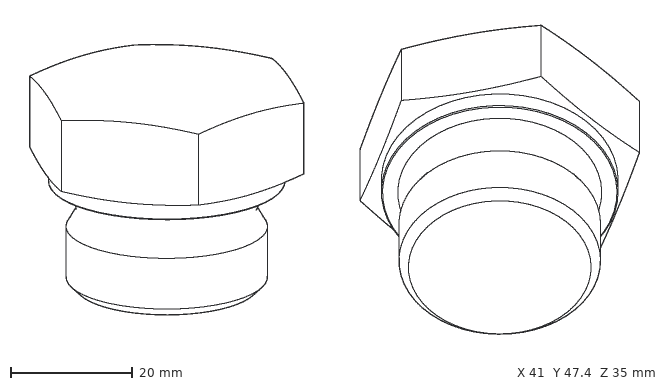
import cadquery as cq
import math

across_corners = 47.35
across_flats = across_corners * math.cos(math.radians(30))
head_height = 14.0
head_chamfer_angle = 15.0

total_height = 35.0
collar_diameter = 39.0
collar_height = 3.0
collar_edge_chamfer = 0.2

shank_diameter = 33.25
shank_length = 10.35
shank_chamfer = 1.55
undercut_top_diameter = 33.6
undercut_arc_diameter = 30.3
undercut_depth_in_arc = 0.2
undercut_arc_height = 1.5
lower_cone_height = 2.5

head_bottom = total_height - head_height
collar_bottom = head_bottom - collar_height
undercut_arc_bottom = shank_length + lower_cone_height
undercut_arc_top = undercut_arc_bottom + undercut_arc_height


def make_head():
    """Hexagon with corners on the Y axis, both ends chamfered by cones."""
    hexagon = (
        cq.Workplane("XY")
        .workplane(offset=head_bottom)
        .polygon(6, across_corners)
        .extrude(head_height)
        .rotate((0, 0, 0), (0, 0, 1), 30)
    )
    flat_radius = across_flats / 2
    corner_radius = across_corners / 2
    chamfer_drop = (corner_radius - flat_radius) * math.tan(math.radians(head_chamfer_angle))
    chamfer_envelope = (
        cq.Workplane("XZ")
        .moveTo(0, head_bottom)
        .lineTo(flat_radius, head_bottom)
        .lineTo(corner_radius, head_bottom + chamfer_drop)
        .lineTo(corner_radius, total_height - chamfer_drop)
        .lineTo(flat_radius, total_height)
        .lineTo(0, total_height)
        .close()
        .revolve(360, (0, 0, 0), (0, 1, 0))
    )
    return hexagon.intersect(chamfer_envelope)


def make_shank():
    """Collar, undercut and chamfered shank as one revolved profile."""
    shank_radius = shank_diameter / 2
    collar_radius = collar_diameter / 2
    arc_radius = undercut_arc_diameter / 2
    arc_middle = (
        arc_radius - undercut_depth_in_arc,
        (undercut_arc_bottom + undercut_arc_top) / 2,
    )
    return (
        cq.Workplane("XZ")
        .moveTo(0, 0)
        .lineTo(shank_radius - shank_chamfer, 0)
        .lineTo(shank_radius, shank_chamfer)
        .lineTo(shank_radius, shank_length)
        .lineTo(arc_radius, undercut_arc_bottom)
        .threePointArc(arc_middle, (arc_radius, undercut_arc_top))
        .lineTo(undercut_top_diameter / 2, collar_bottom)
        .lineTo(collar_radius - collar_edge_chamfer, collar_bottom)
        .lineTo(collar_radius, collar_bottom + collar_edge_chamfer)
        .lineTo(collar_radius, head_bottom)
        .lineTo(0, head_bottom)
        .close()
        .revolve(360, (0, 0, 0), (0, 1, 0))
    )


result = make_head().union(make_shank())